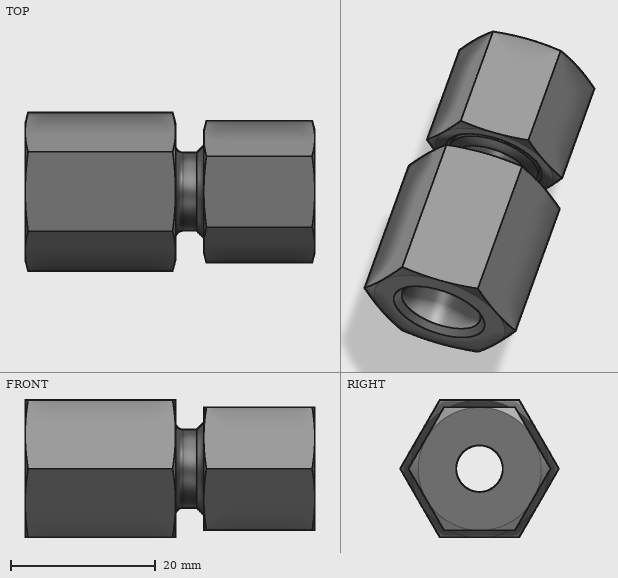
import cadquery as cq
import math

total_length = 40.0
large_hex_length = 20.75
small_hex_length = 15.3
small_hex_start = total_length - small_hex_length

large_across_flats = 19.0
small_across_flats = 17.0
corner_chamfer_angle = 15.0

neck_diameter = 10.9
neck_flare_diameter = 12.85
neck_flare = (neck_flare_diameter - neck_diameter) / 2

countersink_diameter = 14.0
countersink_depth = (countersink_diameter - neck_flare_diameter) / 2

through_diameter = 6.4
socket_diameter = 11.45
socket_depth = 14.4
socket_mouth_diameter = 13.2
socket_chamfer = (socket_mouth_diameter - socket_diameter) / 2


def chamfered_hexagon(start, length, across_flats):
    """Hexagon along X with corners on +-Y and conically chamfered ends."""
    face_radius = across_flats / 2
    corner_radius = face_radius / math.cos(math.radians(30))
    slope = math.tan(math.radians(corner_chamfer_angle))
    end = start + length

    prism = (
        cq.Workplane("YZ", origin=(start, 0, 0))
        .polygon(6, 2 * corner_radius)
        .extrude(length)
    )
    envelope_radius = 1.1 * corner_radius
    envelope_chamfer = (envelope_radius - face_radius) * slope
    envelope = (
        cq.Workplane("XY")
        .moveTo(start, 0)
        .lineTo(start, face_radius)
        .lineTo(start + envelope_chamfer, envelope_radius)
        .lineTo(end - envelope_chamfer, envelope_radius)
        .lineTo(end, face_radius)
        .lineTo(end, 0)
        .close()
        .revolve(360, (0, 0, 0), (1, 0, 0))
    )
    return prism.intersect(envelope)


def flared_neck():
    """Round neck with a fillet at the large hexagon and a cone at the small one."""
    neck_radius = neck_diameter / 2
    flare_radius = neck_flare_diameter / 2
    arc_offset = neck_flare * (1 - math.sqrt(0.5))
    return (
        cq.Workplane("XY")
        .moveTo(large_hex_length, 0)
        .lineTo(large_hex_length, flare_radius)
        .threePointArc(
            (large_hex_length + arc_offset, neck_radius + arc_offset),
            (large_hex_length + neck_flare, neck_radius),
        )
        .lineTo(small_hex_start - neck_flare, neck_radius)
        .lineTo(small_hex_start, flare_radius)
        .lineTo(small_hex_start, 0)
        .close()
        .revolve(360, (0, 0, 0), (1, 0, 0))
    )


def neck_countersink():
    """Ring of 45 degree section that opens the small hexagon around the neck."""
    return (
        cq.Workplane("XY")
        .moveTo(small_hex_start, neck_flare_diameter / 2)
        .lineTo(small_hex_start, countersink_diameter / 2)
        .lineTo(small_hex_start + countersink_depth, neck_flare_diameter / 2)
        .close()
        .revolve(360, (0, 0, 0), (1, 0, 0))
    )


def stepped_bore():
    """Through hole opening into a socket with a chamfered mouth at X = 0."""
    return (
        cq.Workplane("XY")
        .lineTo(0, socket_mouth_diameter / 2)
        .lineTo(socket_chamfer, socket_diameter / 2)
        .lineTo(socket_depth, socket_diameter / 2)
        .lineTo(socket_depth, through_diameter / 2)
        .lineTo(total_length, through_diameter / 2)
        .lineTo(total_length, 0)
        .close()
        .revolve(360, (0, 0, 0), (1, 0, 0))
    )


large_hexagon = chamfered_hexagon(0, large_hex_length, large_across_flats)
small_hexagon = chamfered_hexagon(small_hex_start, small_hex_length, small_across_flats)
small_hexagon = small_hexagon.cut(neck_countersink())

result = large_hexagon.union(flared_neck()).union(small_hexagon).cut(stepped_bore())